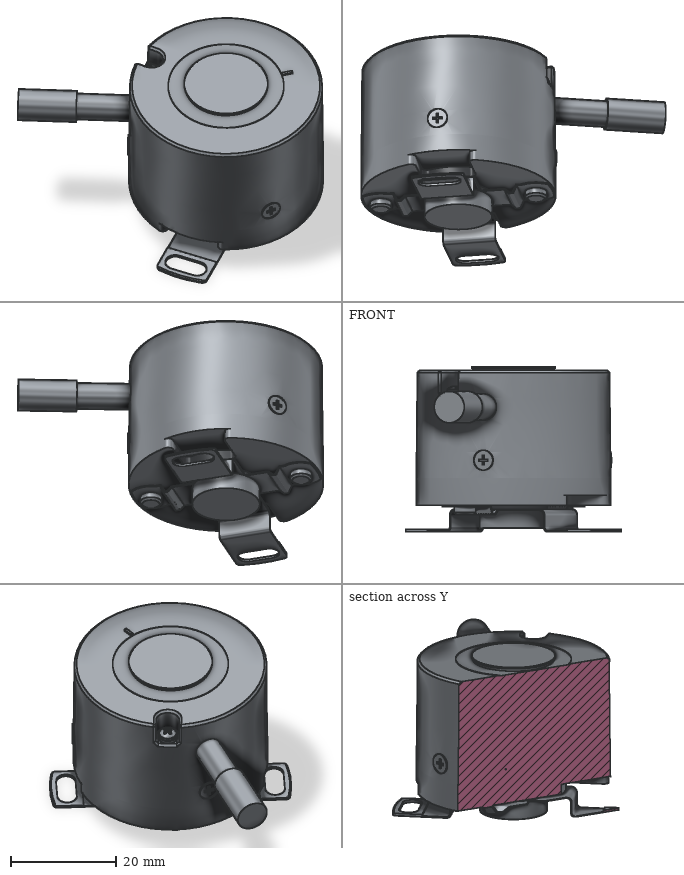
import cadquery as cq
import math

body_bottom = 5.0
cover_bottom = 10.2
body_top = 30.7
overall_height = 31.4

body_radius = 18.5
cover_top_radius = 18.3
rim_chamfer = 0.45

recess_radius = 11.0
recess_depth = 0.1
cap_radius = 7.95
cap_thickness = 0.3
cap_neck_radius = 7.75
mark_width = 0.5
mark_length = 2.05
mark_height = 0.3

cable_angle = 252.0
cable_height = 23.7
cable_radius = 2.5
sleeve_radius = 3.0
sleeve_start = 28.4
sleeve_end = 39.5

wall_screw_angles = (12.0, 140.0, cable_angle)
wall_screw_height = 13.6
wall_screw_radius = 1.9
wall_screw_reach = 18.65
wall_screw_root = 16.0

cross_length = 1.8
cross_width = 0.35
cross_depth = 0.3

pocket_angle = 226.9
pocket_distance = 16.0
pocket_radius = 2.2
pocket_floor = 26.0
washer_radius = 1.85
washer_thickness = 0.6
pocket_head_radius = 1.65
pocket_head_height = 1.1
pocket_head_dome = 0.6

bracket_angle = 142.0
notch_width = 10.4
notch_height = 1.95
notch_floor_radius = 10.0
notch_inner_fillet = 1.0
notch_mouth_fillet = 1.0

hub_radius = 6.4
hub_bottom = 0.7

sheet = 0.25
plate_top = 4.3
foot_width = 10.1
foot_wall_distance = 11.45
upper_bend_radius = 1.2
lower_bend_radius = 0.7
foot_reach = 22.97
foot_corner_radius = 1.0
foot_pad_start = 16.8
foot_pad_thickness = 2 * sheet
foot_pad_edge_chamfer = 0.3
slot_center = 19.8
slot_length = 8.2
slot_width = 3.7

ear_distance = 15.0
ear_radius = 4.3
ear_neck_width = 7.5
ear_trim_radius = 18.2
bead_inner_edge = 9.6
bead_floor_inner = 10.5
bead_floor_outer = 11.2
bead_outer_edge = 11.9
bead_bottom = 3.2
ear_screw_radius = 2.05
ear_screw_bottom = 3.3
ear_screw_chamfer = 0.4


def cylinder(radius, bottom, top):
    return cq.Workplane("XY").workplane(offset=bottom).circle(radius).extrude(top - bottom)


def turned(shape, angle):
    return shape.rotate((0, 0, 0), (0, 0, 1), angle)


def mirrored_pair(shape):
    """The shape together with its copy half a turn around Z."""
    return shape.union(turned(shape, 180))


def radial_rod(radius, start, end, height):
    """A round rod along +X at the given height."""
    return cq.Workplane("YZ", origin=(start, 0, height)).circle(radius).extrude(end - start)


def cross_cutter():
    """Cross-shaped cutter centred on the origin, reaching the recess depth below it."""
    bar = cq.Workplane("XY").box(cross_length, cross_width, 2 * cross_depth)
    return bar.union(turned(bar, 90))


def make_cover():
    """Slightly tapered cover with a screw pocket open to its side, all top and mouth edges chamfered."""
    profile = [
        (0, cover_bottom),
        (body_radius, cover_bottom),
        (cover_top_radius, body_top),
        (0, body_top),
    ]
    cover = cq.Workplane("XZ").polyline(profile).close().revolve(360, (0, 0, 0), (0, 1, 0))
    bore = cylinder(pocket_radius, pocket_floor, body_top).translate((pocket_distance, 0, 0))
    mouth = (
        cq.Workplane("XY", origin=(pocket_distance, 0, pocket_floor))
        .box(body_radius, 2 * pocket_radius, body_top - pocket_floor, centered=(False, True, False))
    )
    cover = cover.cut(bore.union(mouth))
    mouth_zone = cq.selectors.BoxSelector(
        (pocket_distance + pocket_radius / 2, -2 * pocket_radius, pocket_floor - rim_chamfer),
        (2 * body_radius, 2 * pocket_radius, body_top - rim_chamfer),
    )
    cover = cover.faces(">Z").edges().add(cover.edges(mouth_zone)).chamfer(rim_chamfer)
    recess = cylinder(recess_radius, body_top - recess_depth, body_top)
    return turned(cover, pocket_angle).cut(recess)


def make_base():
    """Body bottom with two side notches whose floors follow a cylinder around Z."""
    base = cylinder(body_radius, body_bottom, cover_bottom)
    notch = (
        cq.Workplane("XY")
        .workplane(offset=body_bottom)
        .rect(3 * body_radius, notch_width)
        .extrude(notch_height)
        .cut(cylinder(notch_floor_radius, body_bottom, cover_bottom))
    )
    inner_zone = cq.selectors.BoxSelector(
        (-notch_floor_radius, -notch_width, body_bottom),
        (notch_floor_radius, notch_width, cover_bottom),
    )
    notch = notch.edges("|Z").edges(inner_zone).fillet(notch_inner_fillet)
    base = base.cut(notch)
    mouth_x = math.sqrt(body_radius**2 - (notch_width / 2) ** 2)
    for side in (-1, 1):
        mouth = cq.selectors.BoxSelector(
            (side * mouth_x - notch_mouth_fillet, -notch_width, body_bottom),
            (side * mouth_x + notch_mouth_fillet, notch_width, body_bottom + notch_height),
        )
        base = base.edges("|Z").edges(mouth).fillet(notch_mouth_fillet)
    return turned(base, bracket_angle)


def make_top_details():
    cap = cylinder(cap_neck_radius, body_top - recess_depth, overall_height)
    cap = cap.union(cylinder(cap_radius, overall_height - cap_thickness, overall_height))
    mark = (
        cq.Workplane("XY", origin=(0, recess_radius + mark_length / 2, body_top))
        .rect(mark_width, mark_length)
        .extrude(mark_height)
    )
    return cap.union(mark)


def make_cable():
    cable = radial_rod(cable_radius, 0, sleeve_start, cable_height)
    sleeve = radial_rod(sleeve_radius, sleeve_start, sleeve_end, cable_height)
    return turned(cable.union(sleeve), cable_angle)


def make_wall_screw(angle):
    head = radial_rod(wall_screw_radius, wall_screw_root, wall_screw_reach, wall_screw_height)
    cross = cross_cutter().rotate((0, 0, 0), (0, 1, 0), 90)
    head = head.cut(cross.translate((wall_screw_reach, 0, wall_screw_height)))
    return turned(head, angle)


def make_pocket_screw():
    washer_top = pocket_floor + washer_thickness
    head_top = washer_top + pocket_head_height
    dome_bottom = head_top - pocket_head_dome
    dome_radius = (pocket_head_radius**2 + pocket_head_dome**2) / (2 * pocket_head_dome)
    head = (
        cq.Workplane("XZ")
        .moveTo(0, washer_top)
        .lineTo(pocket_head_radius, washer_top)
        .lineTo(pocket_head_radius, dome_bottom)
        .radiusArc((0, head_top), -dome_radius)
        .close()
        .revolve(360, (0, 0, 0), (0, 1, 0))
    )
    screw = cylinder(washer_radius, pocket_floor, washer_top).union(head)
    screw = screw.cut(cross_cutter().translate((0, 0, head_top)))
    angle = math.radians(pocket_angle)
    return screw.translate((pocket_distance * math.cos(angle), pocket_distance * math.sin(angle), 0))


def make_foot():
    """Z-bent strip ending in a slotted, thickened pad with a curved outer edge."""
    wall_in = foot_wall_distance - sheet
    wall_out = foot_wall_distance
    plate_bottom = plate_top - sheet
    end = 2 * foot_reach
    strip = (
        cq.Workplane("XZ")
        .moveTo(0, plate_top)
        .lineTo(wall_out - upper_bend_radius, plate_top)
        .radiusArc((wall_out, plate_top - upper_bend_radius), upper_bend_radius)
        .lineTo(wall_out, sheet + lower_bend_radius)
        .radiusArc((wall_out + lower_bend_radius, sheet), -lower_bend_radius)
        .lineTo(end, sheet)
        .lineTo(end, 0)
        .lineTo(wall_out + lower_bend_radius, 0)
        .radiusArc((wall_in, sheet + lower_bend_radius), lower_bend_radius + sheet)
        .lineTo(wall_in, plate_top - upper_bend_radius)
        .radiusArc((wall_out - upper_bend_radius, plate_bottom), -(upper_bend_radius - sheet))
        .lineTo(0, plate_bottom)
        .close()
        .extrude(foot_width / 2, both=True)
    )
    outline = cylinder(foot_reach, 0, body_bottom).intersect(
        cq.Workplane("XY").box(end, foot_width, body_bottom, centered=(False, True, False))
    )
    outline = outline.edges("|Z").edges(">X").fillet(foot_corner_radius)
    pad_rim = cylinder(foot_reach, 0, foot_pad_thickness).faces(">Z").edges().chamfer(foot_pad_edge_chamfer)
    pad_zone = cq.Workplane("XY").box(
        foot_reach, foot_width, foot_pad_thickness, centered=(False, True, False)
    ).translate((foot_pad_start, 0, 0))
    pad = outline.intersect(pad_rim).intersect(pad_zone)
    slot = (
        cq.Workplane("XY", origin=(slot_center, 0, 0))
        .slot2D(slot_length, slot_width, 90)
        .extrude(body_bottom)
    )
    return strip.intersect(outline).union(pad).cut(slot)


def make_ear():
    """Round ear against the body underside, joined to the plate by a V bead, with its screw head."""
    plate_middle = plate_top - sheet / 2
    bead_middle = bead_bottom + sheet / 2
    ear_middle = body_bottom - sheet / 2
    middle_line = [
        (0, plate_middle),
        (bead_inner_edge, plate_middle),
        (bead_floor_inner, bead_middle),
        (bead_floor_outer, bead_middle),
        (bead_outer_edge, ear_middle),
        (ear_distance + ear_radius, ear_middle),
    ]
    strip = (
        cq.Workplane("YZ").polyline(middle_line).wire().offset2D(sheet / 2).extrude(ear_radius, both=True)
    )
    neck = cq.Workplane("XY").rect(ear_neck_width, 2 * ear_distance).extrude(body_bottom)
    outline = neck.union(cylinder(ear_radius, 0, body_bottom).translate((0, ear_distance, 0)))
    screw = cylinder(ear_screw_radius, ear_screw_bottom, body_bottom)
    screw = screw.faces("<Z").edges().chamfer(ear_screw_chamfer)
    ear = strip.intersect(outline).intersect(cylinder(ear_trim_radius, 0, body_bottom))
    return ear.union(screw.translate((0, ear_distance, 0)))


def make_bracket():
    bracket = mirrored_pair(make_foot()).union(mirrored_pair(make_ear()))
    return turned(bracket, bracket_angle)


result = make_cover().union(make_base()).union(make_top_details()).union(make_cable())
for screw_angle in wall_screw_angles:
    result = result.union(make_wall_screw(screw_angle))
result = result.union(make_pocket_screw())
result = result.union(cylinder(hub_radius, hub_bottom, body_bottom)).union(make_bracket())